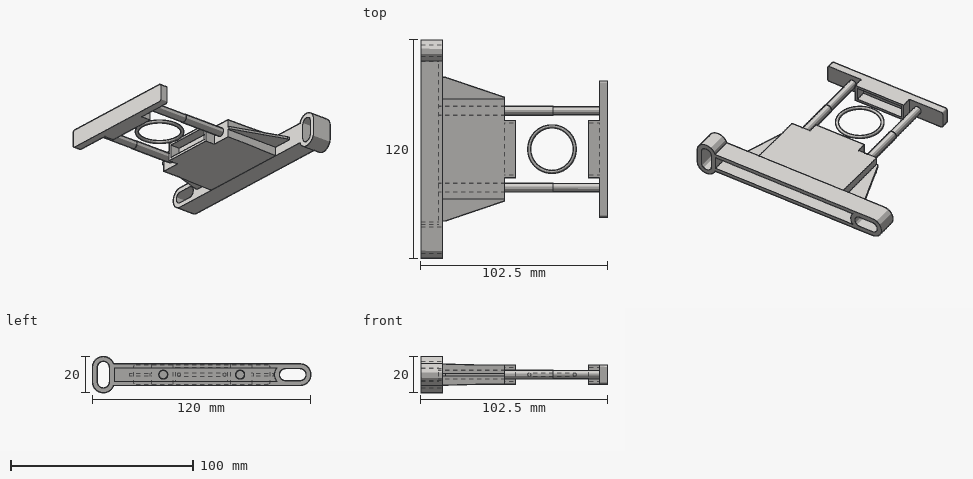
import cadquery as cq

bar_depth = 12.0
bar_height = 12.0
bar_end_radius = bar_height / 2
overall_width = 120.0
end_center_y = overall_width / 2 - bar_end_radius
slot_travel = 8.0
slot_radius = 3.25
flat_slot_inner_y = slot_travel - end_center_y
bar_wall = 2.25
bar_pocket_height = bar_height - 2 * bar_wall
bar_pocket_depth = bar_depth - bar_wall

body_width = 55.0
taper_length = 22.0
straight_length = 12.0
body_root_height = 11.8
body_height = 10.6
taper_end_x = bar_depth + taper_length
body_end_x = taper_end_x + straight_length

fin_thickness = 1.4
fin_root_half_width = 39.5
fin_tip_half_width = 28.5
fin_straight_length = 1.5

tab_length = 6.0
tab_width = 31.5
tab_wall = 1.5

overall_length = 102.5
plate_thickness = 4.5
plate_width = 75.0
plate_corner_radius = 1.3
plate_x = overall_length - plate_thickness

rod_half_spacing = 21.1
rod_diameter = 4.6
sleeve_diameter = 5.0
sleeve_end_x = 72.5

ring_center_x = 72.0
ring_outer_diameter = 26.8
ring_wire_diameter = 1.8


def box_from(x_start, length, width, height):
    """Box starting at x_start, centred on the X axis."""
    start_plane = cq.Workplane("XY", origin=(x_start, 0, 0))
    return start_plane.box(length, width, height, centered=(False, True, True))


def cylinder_x(x_start, x_end, y, diameter):
    """Cylinder parallel to X at height zero."""
    return cq.Workplane("YZ", origin=(x_start, y, 0)).circle(diameter / 2).extrude(x_end - x_start)


def stadium(center_y, radius, angle, depth):
    """Round-ended prism through the crossbar; the angle turns it from Y towards Z."""
    profile = cq.Workplane("YZ").center(center_y, 0)
    return profile.slot2D(slot_travel + 2 * radius, 2 * radius, angle).extrude(depth)


def make_tab(x_start):
    """Rectangular tab, pocketed along its full length."""
    pocket = box_from(x_start, tab_length, tab_width - 2 * tab_wall, body_height - 2 * tab_wall)
    return box_from(x_start, tab_length, tab_width, body_height).cut(pocket)


def make_crossbar():
    lug = stadium(end_center_y, bar_end_radius, 90, bar_depth)
    rounded_end = cylinder_x(0, bar_depth, -end_center_y, bar_height)
    beam = box_from(0, bar_depth, 2 * end_center_y, bar_height)
    bar = beam.union(lug).union(rounded_end)

    pocket_start = flat_slot_inner_y
    pocket_end = end_center_y - bar_end_radius
    pocket = (
        cq.Workplane("XY")
        .box(bar_pocket_depth, pocket_end - pocket_start, bar_pocket_height, centered=(False, False, True))
        .translate((0, pocket_start, 0))
        .cut(cylinder_x(0, bar_pocket_depth, flat_slot_inner_y, bar_height))
    )
    upright_slot = stadium(end_center_y, slot_radius, 90, bar_depth)
    flat_slot = stadium(-end_center_y + slot_travel / 2, slot_radius, 0, bar_depth)
    return bar.cut(pocket).cut(upright_slot).cut(flat_slot)


def make_frame():
    body = (
        cq.Workplane("XZ")
        .moveTo(bar_depth, -body_root_height / 2)
        .lineTo(taper_end_x, -body_height / 2)
        .lineTo(body_end_x, -body_height / 2)
        .lineTo(body_end_x, body_height / 2)
        .lineTo(taper_end_x, body_height / 2)
        .lineTo(bar_depth, body_root_height / 2)
        .close()
        .extrude(body_width / 2, both=True)
    )
    fins = (
        cq.Workplane("XY")
        .moveTo(bar_depth, 0)
        .lineTo(bar_depth, fin_root_half_width)
        .lineTo(bar_depth + fin_straight_length, fin_root_half_width)
        .lineTo(body_end_x, fin_tip_half_width)
        .lineTo(body_end_x, 0)
        .mirrorX()
        .extrude(fin_thickness / 2, both=True)
    )
    tab = make_tab(body_end_x)
    frame = make_crossbar().union(body).union(fins).union(tab)
    for side in (-1, 1):
        frame = frame.cut(cylinder_x(bar_pocket_depth, body_end_x, side * rod_half_spacing, sleeve_diameter))
    return frame


def make_sleeve(y):
    bore = cylinder_x(bar_pocket_depth, sleeve_end_x, y, rod_diameter)
    return cylinder_x(bar_pocket_depth, sleeve_end_x, y, sleeve_diameter).cut(bore)


def make_slider():
    """End plate with its tab and the two rods that run inside the sleeves."""
    plate = box_from(plate_x, plate_thickness, plate_width, body_height)
    plate = plate.edges("|X").fillet(plate_corner_radius)
    slider = plate.union(make_tab(plate_x - tab_length))
    for side in (-1, 1):
        slider = slider.union(cylinder_x(bar_pocket_depth, plate_x, side * rod_half_spacing, rod_diameter))
    return slider


def make_ring():
    path_radius = (ring_outer_diameter - ring_wire_diameter) / 2
    wire = cq.Solid.makeTorus(path_radius, ring_wire_diameter / 2)
    return cq.Workplane(wire.translate(cq.Vector(ring_center_x, 0, 0)))


frame = make_frame()
slider = make_slider()
ring = make_ring()
sleeves = [make_sleeve(side * rod_half_spacing) for side in (-1, 1)]

result = cq.Compound.makeCompound(
    [frame.val(), slider.val(), ring.val(), *[sleeve.val() for sleeve in sleeves]]
)